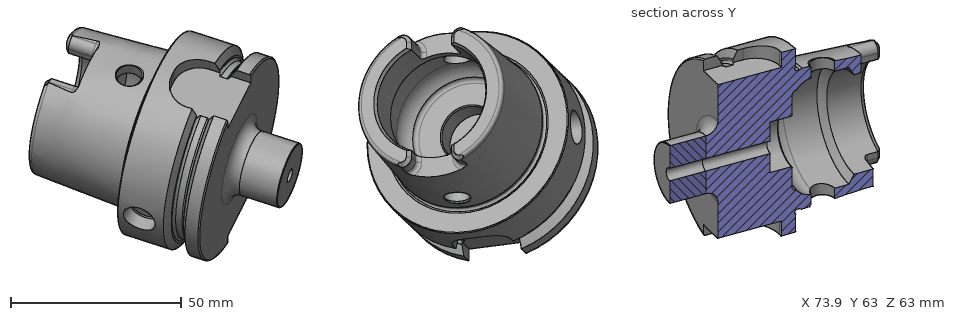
import cadquery as cq
import math


shank_length = 31.85
taper_large_radius = 24.25
taper_end_x = -1.9
taper_slope = 1 / 20
shank_tip_fillet = 1.2
relief_radius = 23.9
relief_start_x = -1.2
relief_fillet = 0.8
relief_depth = 0.4
relief_outer_radius = 25.3

flange_diameter = 63.0
flange_radius = flange_diameter / 2
flange_width = 26.0
flange_front_chamfer = 0.3
flange_rear_chamfer = 0.45
groove_left_x = 16.1
groove_right_x = 19.8
groove_radius = 27.5
groove_fillet = 0.8
groove_left_flank = 1.5
groove_right_flank = 1.7
groove_flank_angle = 60
groove_flank_slope = math.tan(math.radians(groove_flank_angle))

nose_radius = 10.0
nose_blend = 4.0
overall_length = 73.9
nose_end_x = overall_length - shank_length
nose_chamfer = 0.2

bore_radius = 17.0
bore_depth = 12.55
mouth_chamfer_width = 0.7
mouth_chamfer_depth = 1.2
clamp_radius = 19.95
clamp_cone_angle = 60
clamp_cone_length = (clamp_radius - bore_radius) / math.tan(math.radians(clamp_cone_angle))
clamp_wall_depth = 25.8
clamp_end_arc_radius = 7.4
pocket_radius = 17.1
floor_fillet = 1.4

socket_radius = 8.6
socket_chamfer = 0.4
socket_depth = 7.4
coolant_radius = 2.1

notch_half_width = 6.3
notch_flare_radius = 2.8
notch_flare_start_z = 17.95
notch_inner_z = 8.9
notch_end_fillet = 1.4
notch_lead_in = 1.2
notch_lead_in_angle = 45
top_notch_depth = 10.1
bottom_notch_depth = 6.05

radial_hole_x = -8.95
radial_hole_radius = 3.85
radial_hole_chamfer = 0.45

keyway_width = 17.95
keyway_start_x = 4.9
keyway_corner_radius = 8.0
keyway_floor_z = 26.4

chip_hole_x = 7.0
chip_hole_radius = 5.0
chip_hole_depth = 5.2
chip_hole_bottom_chamfer = 0.4

tip_x = -shank_length
over = 3.7


def revolve_about_x(profile):
    return profile.close().revolve(360, (0, 0, 0), (1, 0, 0))


def bulge(radius):
    """Offset of a quarter arc's midpoint from the corner of its bounding square."""
    return radius * (1 - math.sqrt(0.5))


def holder_blank():
    tip_radius = taper_large_radius - taper_slope * (taper_end_x - tip_x)
    relief_mid = bulge(relief_fillet)
    blend_start_x = flange_width + nose_blend
    blend_mid = bulge(nose_blend)
    fillet_mid = bulge(groove_fillet)
    profile = (
        cq.Workplane("XY")
        .moveTo(tip_x, 0)
        .lineTo(tip_x, tip_radius - shank_tip_fillet)
        .threePointArc(
            (tip_x + bulge(shank_tip_fillet), tip_radius - bulge(shank_tip_fillet)),
            (tip_x + shank_tip_fillet, tip_radius),
        )
        .lineTo(taper_end_x, taper_large_radius)
        .lineTo(relief_start_x, relief_radius)
        .lineTo(relief_depth - relief_fillet, relief_radius)
        .threePointArc(
            (relief_depth - relief_mid, relief_radius + relief_mid),
            (relief_depth, relief_radius + relief_fillet),
        )
        .lineTo(0, relief_outer_radius)
        .lineTo(0, flange_radius - flange_front_chamfer)
        .lineTo(flange_front_chamfer, flange_radius)
        .lineTo(groove_left_x - groove_left_flank, flange_radius)
        .lineTo(groove_left_x, flange_radius - groove_left_flank * groove_flank_slope)
        .lineTo(groove_left_x, groove_radius + groove_fillet)
        .threePointArc(
            (groove_left_x + fillet_mid, groove_radius + fillet_mid),
            (groove_left_x + groove_fillet, groove_radius),
        )
        .lineTo(groove_right_x - groove_fillet, groove_radius)
        .threePointArc(
            (groove_right_x - fillet_mid, groove_radius + fillet_mid),
            (groove_right_x, groove_radius + groove_fillet),
        )
        .lineTo(groove_right_x, flange_radius - groove_right_flank * groove_flank_slope)
        .lineTo(groove_right_x + groove_right_flank, flange_radius)
        .lineTo(flange_width - flange_rear_chamfer, flange_radius)
        .lineTo(flange_width, flange_radius - flange_rear_chamfer)
        .lineTo(flange_width, nose_radius + nose_blend)
        .threePointArc(
            (flange_width + blend_mid, nose_radius + blend_mid),
            (blend_start_x, nose_radius),
        )
        .lineTo(blend_start_x, 0)
    )
    return revolve_about_x(profile)


def clamping_cavity():
    """Bore, undercut clamping groove, rounded pocket floor, coolant socket and coolant hole."""
    cone_start_x = tip_x + bore_depth
    arc_start_x = tip_x + clamp_wall_depth
    arc_center_radius = clamp_radius - clamp_end_arc_radius
    arc_sweep = math.acos((pocket_radius - arc_center_radius) / clamp_end_arc_radius)
    arc_end_x = arc_start_x + clamp_end_arc_radius * math.sin(arc_sweep)
    arc_mid_x = arc_start_x + clamp_end_arc_radius * math.sin(arc_sweep / 2)
    arc_mid_radius = arc_center_radius + clamp_end_arc_radius * math.cos(arc_sweep / 2)
    floor_x = arc_end_x + floor_fillet
    floor_mid = bulge(floor_fillet)
    profile = (
        cq.Workplane("XY")
        .moveTo(tip_x, 0)
        .lineTo(tip_x, bore_radius + mouth_chamfer_width)
        .lineTo(tip_x + mouth_chamfer_depth, bore_radius)
        .lineTo(cone_start_x, bore_radius)
        .lineTo(cone_start_x + clamp_cone_length, clamp_radius)
        .lineTo(arc_start_x, clamp_radius)
        .threePointArc((arc_mid_x, arc_mid_radius), (arc_end_x, pocket_radius))
        .threePointArc(
            (floor_x - floor_mid, pocket_radius - floor_mid),
            (floor_x, pocket_radius - floor_fillet),
        )
        .lineTo(floor_x, socket_radius + socket_chamfer)
        .lineTo(floor_x + socket_chamfer, socket_radius)
        .lineTo(floor_x + socket_depth, socket_radius)
        .lineTo(floor_x + socket_depth, coolant_radius)
        .lineTo(nose_end_x, coolant_radius)
        .lineTo(nose_end_x, 0)
    )
    return revolve_about_x(profile)


def notch_profile(grow):
    """Notch section across the shank, enlarged by grow: parallel walls flaring out at the top."""
    half = notch_half_width + grow
    flare = notch_flare_radius - grow
    flare_end = half + flare
    plane_z = notch_flare_start_z + flare
    flare_mid = bulge(flare)
    return (
        cq.Workplane("YZ", origin=(tip_x, 0, 0))
        .moveTo(-half, notch_inner_z)
        .lineTo(-half, notch_flare_start_z)
        .threePointArc((-half - flare_mid, plane_z - flare_mid), (-flare_end, plane_z))
        .lineTo(-flange_radius, plane_z)
        .lineTo(-flange_radius, flange_radius)
        .lineTo(flange_radius, flange_radius)
        .lineTo(flange_radius, plane_z)
        .lineTo(flare_end, plane_z)
        .threePointArc((half + flare_mid, plane_z - flare_mid), (half, notch_flare_start_z))
        .lineTo(half, notch_inner_z)
        .close()
    )


def drive_notch(depth):
    """Notch on the +Z side with a rounded end and a chamfered entry."""
    slot = notch_profile(0).extrude(depth).faces(">X").edges().fillet(notch_end_fillet)
    lead_in = notch_profile(notch_lead_in).extrude(notch_lead_in, taper=notch_lead_in_angle)
    return slot.union(lead_in)


def radial_hole():
    """Hole across the shank along Z, chamfered where it leaves the taper on both sides."""
    mouth_z = taper_large_radius - taper_slope * (taper_end_x - radial_hole_x)
    mouth_radius = radial_hole_radius + radial_hole_chamfer
    half = (
        cq.Workplane("XZ", origin=(radial_hole_x, 0, 0))
        .lineTo(radial_hole_radius, 0)
        .lineTo(radial_hole_radius, mouth_z - radial_hole_chamfer)
        .lineTo(mouth_radius, mouth_z)
        .lineTo(mouth_radius, mouth_z + over)
        .lineTo(0, mouth_z + over)
        .close()
        .revolve(360, (0, 0, 0), (0, 1, 0))
    )
    return half.union(half.mirror("XY"))


def keyway():
    """Flat-floored slot on the +Z side, open toward the nose."""
    length = flange_width - keyway_start_x + over
    return (
        cq.Workplane("XY")
        .box(length, keyway_width, flange_radius, centered=(False, True, False))
        .edges("|Z and <X")
        .fillet(keyway_corner_radius)
        .translate((keyway_start_x, 0, keyway_floor_z))
    )


def chip_hole():
    """Blind round pocket sunk from the -Y side of the flange."""
    return (
        cq.Workplane("XZ", origin=(chip_hole_x, chip_hole_depth - flange_radius, 0))
        .circle(chip_hole_radius)
        .extrude(chip_hole_depth + over)
        .faces(">Y")
        .chamfer(chip_hole_bottom_chamfer)
    )


def make_holder():
    body = holder_blank().cut(clamping_cavity())
    body = body.cut(drive_notch(top_notch_depth))
    body = body.cut(drive_notch(bottom_notch_depth).mirror("XY"))
    body = body.cut(radial_hole())
    body = body.cut(keyway())
    body = body.cut(keyway().mirror("XY"))
    return body.cut(chip_hole())


def make_nose():
    """Plain cylinder carrying the coolant hole, standing on the end of the blend."""
    start_x = flange_width + nose_blend
    return (
        cq.Workplane("YZ", origin=(start_x, 0, 0))
        .circle(nose_radius)
        .extrude(nose_end_x - start_x)
        .faces(">X")
        .chamfer(nose_chamfer)
        .cut(clamping_cavity())
    )


holder = make_holder()
nose = make_nose()

result = cq.Compound.makeCompound([holder.val(), nose.val()])